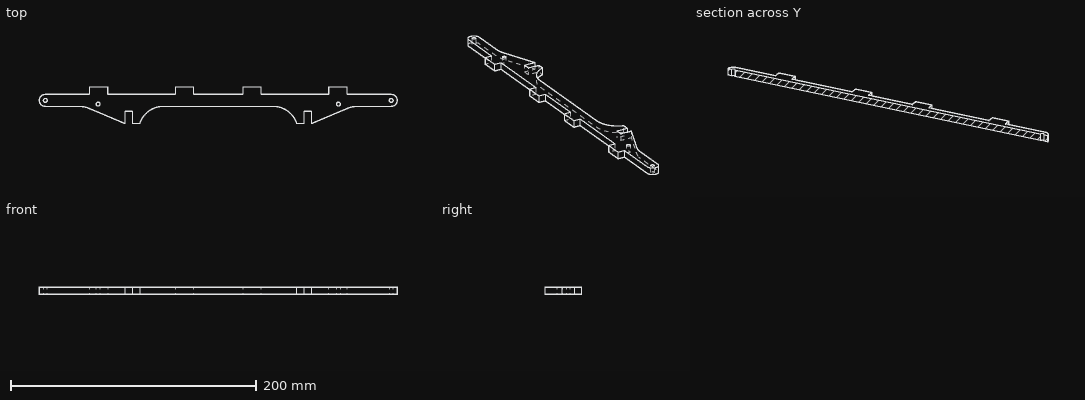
import cadquery as cq
import math

thickness = 6.0
length = 292.0
depth = 30.0

bar_width = 10.0
end_radius = bar_width / 2
tab_height = thickness
end_centre_x = length / 2 - end_radius

tab_width = 15.0
inner_tab_x = 27.5
outer_tab_x = 97.5

slot_width = thickness
slot_depth = 10.0
slot_x = 73.0
foot_width = 6.0
inner_arc_radius = 20.0
taper_end_x = 109.2
taper_blend_radius = 20.0

hole_diameter = 3.0
leg_hole_x = 98.0
leg_hole_drop = 3.0

bar_back_y = bar_width / 2
bar_front_y = -bar_width / 2
leg_front_y = bar_back_y + tab_height - depth
leg_height = bar_front_y - leg_front_y


def make_bar():
    straight = cq.Workplane("XY").box(2 * end_centre_x, bar_width, thickness, centered=(True, True, False))
    ends = (
        cq.Workplane("XY")
        .pushPoints([(-end_centre_x, 0), (end_centre_x, 0)])
        .circle(end_radius)
        .extrude(thickness)
    )
    return straight.union(ends)


def make_tabs():
    tab_y = bar_back_y + tab_height / 2
    tab_centres = [(side * x, tab_y) for side in (-1, 1) for x in (inner_tab_x, outer_tab_x)]
    return cq.Workplane("XY").pushPoints(tab_centres).rect(tab_width, tab_height).extrude(thickness)


def make_leg():
    """Leg on the +X side: concave arc inside, open slot, blended taper outside."""
    slot_inner_x = slot_x - slot_width / 2
    slot_outer_x = slot_x + slot_width / 2
    foot_inner_x = slot_inner_x - foot_width

    def inner_arc_run(drop):
        return math.sqrt(inner_arc_radius**2 - (inner_arc_radius - drop) ** 2)

    arc_start_x = foot_inner_x - inner_arc_run(leg_height)
    arc_mid_drop = leg_height / 2
    arc_mid = (arc_start_x + inner_arc_run(arc_mid_drop), bar_front_y - arc_mid_drop)

    taper_angle = math.atan2(leg_height, taper_end_x - slot_outer_x)
    blend_length = taper_blend_radius * math.tan(taper_angle / 2)
    blend_start = (
        taper_end_x - blend_length * math.cos(taper_angle),
        bar_front_y - blend_length * math.sin(taper_angle),
    )
    blend_end = (taper_end_x + blend_length, bar_front_y)
    blend_mid = (
        blend_end[0] - taper_blend_radius * math.sin(taper_angle / 2),
        bar_front_y - taper_blend_radius * (1 - math.cos(taper_angle / 2)),
    )

    slot_end_y = leg_front_y + slot_depth
    return (
        cq.Workplane("XY")
        .moveTo(arc_start_x, 0)
        .lineTo(arc_start_x, bar_front_y)
        .threePointArc(arc_mid, (foot_inner_x, leg_front_y))
        .lineTo(slot_inner_x, leg_front_y)
        .lineTo(slot_inner_x, slot_end_y)
        .lineTo(slot_outer_x, slot_end_y)
        .lineTo(slot_outer_x, leg_front_y)
        .lineTo(*blend_start)
        .threePointArc(blend_mid, blend_end)
        .lineTo(blend_end[0], 0)
        .close()
        .extrude(thickness)
    )


def make_pin_holes():
    holes_one_side = [(end_centre_x, 0), (leg_hole_x, -leg_hole_drop)]
    centres = [(side * x, y) for side in (-1, 1) for x, y in holes_one_side]
    return cq.Workplane("XY").pushPoints(centres).circle(hole_diameter / 2).extrude(thickness)


leg = make_leg()
result = (
    make_bar()
    .union(make_tabs())
    .union(leg)
    .union(leg.mirror("YZ"))
    .cut(make_pin_holes())
    .clean()
)